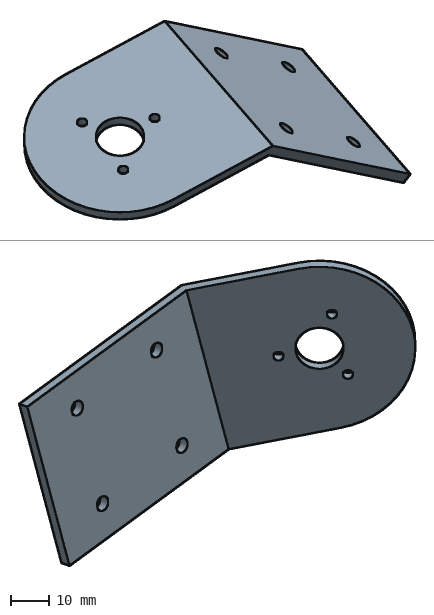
import cadquery as cq
import math

overall_length = 99.7
width = 50.0
thickness = 3.1
flat_length = 31.2
bend_angle = 45.0

bore_diameter = 12.6
screw_diameter = 2.6
screw_circle_radius = 11.0
screw_count = 3

leg_hole_diameter = 4.0
leg_hole_spacing = 30.0

end_radius = width / 2
slope = math.radians(bend_angle)
leg_run = overall_length - end_radius - flat_length
leg_drop = leg_run * math.tan(slope)
leg_length = leg_run / math.cos(slope)
inner_bend_setback = thickness * math.tan(slope / 2)

bend_y = flat_length


def bent_strip():
    """Side profile of the bent plate, extruded across the full width."""
    leg_end_y = bend_y + leg_run
    profile = [
        (-end_radius, 0),
        (bend_y, 0),
        (leg_end_y, -leg_drop),
        (leg_end_y - thickness * math.sin(slope), -leg_drop - thickness * math.cos(slope)),
        (bend_y - inner_bend_setback, -thickness),
        (-end_radius, -thickness),
    ]
    return cq.Workplane("YZ").polyline(profile).close().extrude(width / 2, both=True)


def round_end(body):
    """Trim the flat end of the plate to a half circle."""
    corners = (
        cq.Workplane("XY")
        .moveTo(-end_radius, 0)
        .threePointArc((0, -end_radius), (end_radius, 0))
        .lineTo(end_radius, -end_radius)
        .lineTo(-end_radius, -end_radius)
        .close()
        .extrude(-thickness)
    )
    return body.cut(corners)


def flat_holes():
    """Central bore and its ring of screw holes."""
    bore = cq.Workplane("XY").circle(bore_diameter / 2).extrude(-thickness)
    screws = (
        cq.Workplane("XY")
        .polarArray(screw_circle_radius, 90, 360, screw_count)
        .circle(screw_diameter / 2)
        .extrude(-thickness)
    )
    return bore.union(screws)


def leg_holes():
    """Four holes square to the sloping leg, centred on its upper face."""
    leg_plane = cq.Plane(
        origin=(0, bend_y, 0),
        xDir=(1, 0, 0),
        normal=(0, math.sin(slope), math.cos(slope)),
    )
    return (
        cq.Workplane(leg_plane)
        .center(0, leg_length / 2)
        .rarray(leg_hole_spacing, leg_hole_spacing, 2, 2)
        .circle(leg_hole_diameter / 2)
        .extrude(-thickness)
    )


result = round_end(bent_strip()).cut(flat_holes()).cut(leg_holes())